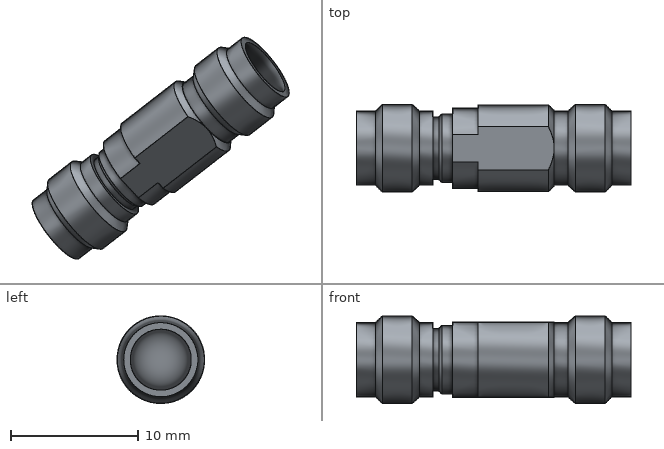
import cadquery as cq

length = 21.6

sleeve_radius = 2.92
flange_diameter = 6.9
flange_radius = flange_diameter / 2
flange_start = 1.51
flange_end = 4.97
flange_rise = flange_radius - sleeve_radius
flange_inner_slope = 0.58
bore_radius = 2.4
bore_depth = 2.95

left_sleeve_length = 6.0
neck_radius = 2.46
neck_end = 6.48
collar_radius = 2.7
collar_chamfer = collar_radius - neck_radius

shoulder_start = 7.55
shoulder_radius = 3.15
barrel_start = 9.57
barrel_diameter = 6.85
barrel_radius = barrel_diameter / 2
barrel_end = 15.55
flat_height = 2.95
barrel_chamfer = barrel_radius - flat_height


def cylinder(start, end, radius):
    """Solid cylinder on the X axis between two X positions."""
    return cq.Workplane("YZ", origin=(start, 0, 0)).circle(radius).extrude(end - start)


def coupling_ring():
    """Left ring: a 45 degree chamfer towards the end face, a slightly longer one behind."""
    ring = cylinder(flange_start, flange_end, flange_radius)
    ring = ring.faces("<X").edges().chamfer(flange_rise)
    slope = (
        cq.Workplane("XY")
        .moveTo(flange_end, sleeve_radius)
        .lineTo(flange_end, flange_radius)
        .lineTo(flange_end - flange_inner_slope, flange_radius)
        .close()
        .revolve(360, (0, 0, 0), (1, 0, 0))
    )
    return ring.cut(slope)


def neck_and_collar():
    """Undercut neck followed by a collar with a chamfered leading rim."""
    neck = cylinder(left_sleeve_length, neck_end, neck_radius)
    collar = cylinder(neck_end, shoulder_start, collar_radius)
    collar = collar.faces("<X").edges().chamfer(collar_chamfer)
    return neck.union(collar)


def wrench_body():
    """Stepped barrel cut to two parallel flats on top and bottom."""
    shoulder = cylinder(shoulder_start, barrel_start, shoulder_radius)
    barrel = cylinder(barrel_start, barrel_end, barrel_radius)
    barrel = barrel.faces(">X").edges().chamfer(barrel_chamfer)
    between_flats = cq.Workplane("XY").box(2 * length, barrel_diameter, 2 * flat_height)
    return shoulder.union(barrel).intersect(between_flats)


left_sleeve = cylinder(0, left_sleeve_length, sleeve_radius)
right_sleeve = cylinder(barrel_end, length, sleeve_radius)

result = left_sleeve.union(neck_and_collar()).union(wrench_body()).union(right_sleeve)

left_ring = coupling_ring()
right_ring = left_ring.mirror("YZ", (length / 2, 0, 0))
result = result.union(left_ring).union(right_ring)

for bore_start in (0, length - bore_depth):
    result = result.cut(cylinder(bore_start, bore_start + bore_depth, bore_radius))